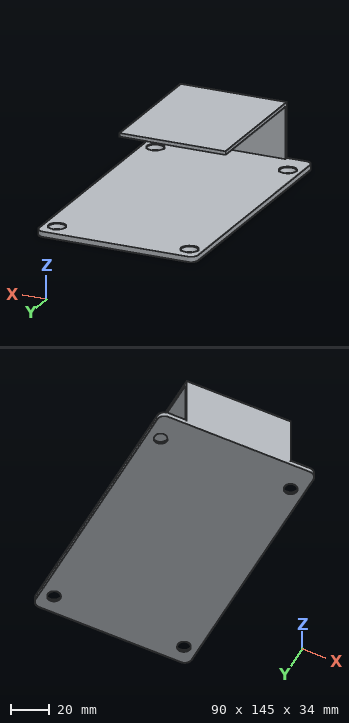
import cadquery as cq

plate_width = 90.0
plate_length = 145.0
plate_thickness = 3.0
corner_radius = 4.0

total_height = 34.0
cover_width = 60.0
cover_length = 75.0
cover_thickness = 2.0

hole_top_diameter = 9.4
hole_bottom_diameter = 7.0
hole_rim_depth = 0.6
hole_side_inset = 7.5
hole_front_inset = 15.0
hole_rear_inset = 10.0


def make_plate():
    """Flat plate with rounded corners, its front edge on Y = 0."""
    return (
        cq.Workplane("XY")
        .box(plate_width, plate_length, plate_thickness, centered=(True, False, False))
        .edges("|Z")
        .fillet(corner_radius)
    )


def make_cover():
    """L-shaped cover profile in the YZ plane, extruded across the plate."""
    return (
        cq.Workplane("YZ")
        .moveTo(0, 0)
        .lineTo(0, total_height)
        .lineTo(cover_length, total_height)
        .lineTo(cover_length, total_height - cover_thickness)
        .lineTo(cover_thickness, total_height - cover_thickness)
        .lineTo(cover_thickness, 0)
        .close()
        .extrude(cover_width / 2, both=True)
    )


def make_hole(x, y):
    """Cutter with a straight rim at the plate top, narrowing below it to the underside."""
    taper_height = plate_thickness - hole_rim_depth
    return (
        cq.Workplane("XZ")
        .moveTo(0, 0)
        .lineTo(hole_bottom_diameter / 2, 0)
        .lineTo(hole_top_diameter / 2, taper_height)
        .lineTo(hole_top_diameter / 2, plate_thickness)
        .lineTo(0, plate_thickness)
        .close()
        .revolve(360, (0, 0, 0), (0, 1, 0))
        .translate((x, y, 0))
    )


result = make_plate().union(make_cover())

hole_x = plate_width / 2 - hole_side_inset
for x in (-hole_x, hole_x):
    for y in (hole_front_inset, plate_length - hole_rear_inset):
        result = result.cut(make_hole(x, y))